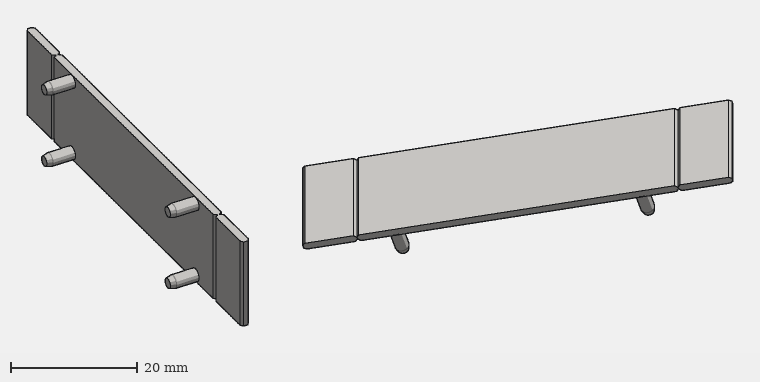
import cadquery as cq

length = 70.0
height = 16.0
thickness = 1.5
end_bevel_x = 0.5
end_bevel_y = 0.35

groove_x = 26.2
groove_width = 0.85
web_thickness = 0.35
groove_depth = (thickness - web_thickness) / 2

overall_depth = 6.5
pin_diameter = 2.3
pin_tip_diameter = 1.75
pin_tip_length = 1.0
pin_x = 20.0
pin_edge_gap = 0.1
pin_z = (height - pin_diameter) / 2 - pin_edge_gap


def make_plate():
    """Flat plate with both edges of each short end bevelled."""
    end = length / 2
    outline = [
        (-end + end_bevel_x, 0),
        (end - end_bevel_x, 0),
        (end, -end_bevel_y),
        (end, -thickness + end_bevel_y),
        (end - end_bevel_x, -thickness),
        (-end + end_bevel_x, -thickness),
        (-end, -thickness + end_bevel_y),
        (-end, -end_bevel_y),
    ]
    return cq.Workplane("XY", origin=(0, 0, -height / 2)).polyline(outline).close().extrude(height)


def make_groove(x, face_y, inward):
    """V-shaped cutter across the plate height; inward is the Y direction of its depth."""
    outline = [
        (x - groove_width / 2, face_y),
        (x + groove_width / 2, face_y),
        (x, face_y + inward * groove_depth),
    ]
    return cq.Workplane("XY", origin=(0, 0, -height / 2)).polyline(outline).close().extrude(height)


def make_pin(x, z):
    """Round pin, revolved about its axis, rooted in the plate and pointing to -Y."""
    radius = pin_diameter / 2
    profile = [
        (0, -thickness / 2),
        (radius, -thickness / 2),
        (radius, -overall_depth + pin_tip_length),
        (pin_tip_diameter / 2, -overall_depth),
        (0, -overall_depth),
    ]
    pin = cq.Workplane("XY").polyline(profile).close().revolve(360, (0, 0), (0, 1))
    return pin.translate((x, 0, z))


result = make_plate()

for x in (-groove_x, groove_x):
    result = result.cut(make_groove(x, 0, -1))
    result = result.cut(make_groove(x, -thickness, 1))

for x in (-pin_x, pin_x):
    for z in (-pin_z, pin_z):
        result = result.union(make_pin(x, z))